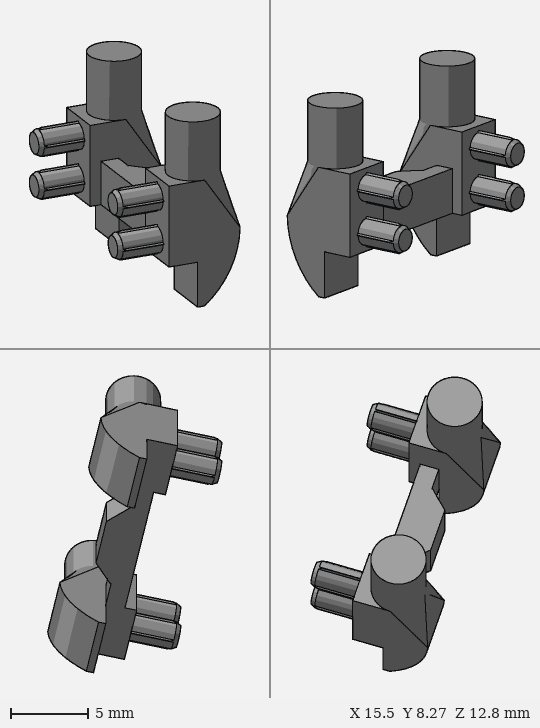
import cadquery as cq
import math

overall_width = 15.54
overall_depth = 8.27
overall_height = 12.85

block_width = 3.57
pin_length = 3.17
block_front = pin_length
block_back = overall_depth
block_top = 8.75
step_height = 3.12
ridge_height = 5.03
leg_front = block_back - 3.05
back_radius = 6.53
toe_back = block_back - 2.56
block_offset = (overall_width - block_width) / 2

post_radius = block_width / 2
post_y = block_front + 2.55

pin_radius = 0.9
pin_tip_radius = 0.73
pin_chamfer_length = 0.31
pin_heights = (4.45, 7.41)
rib_tip_radius = 1.03
rib_root_radius = 0.89
rib_width = 0.19
rib_count = 4

bar_front = block_front + 0.78
bar_thickness = 1.26
bar_height = 3.01
bar_bulge = 1.27
bar_end_length = 1.41
bar_half_length = overall_width / 2 - block_width


def make_block_body():
    """Side profile with a curved back, extruded across the block width."""
    return (
        cq.Workplane("YZ")
        .moveTo(leg_front, 0)
        .lineTo(leg_front, step_height)
        .lineTo(block_front, step_height)
        .lineTo(block_front, block_top)
        .lineTo(post_y, block_top)
        .lineTo(block_back, ridge_height)
        .radiusArc((toe_back, 0), back_radius)
        .close()
        .extrude(block_width / 2, both=True)
    )


def make_shoulder():
    """Blend from the rear half of the post's base down to the straight ridge."""
    center = cq.Vector(0, post_y, block_top)
    post_back = cq.Vector(0, post_y + post_radius, block_top)
    diagonal = post_radius * math.sqrt(0.5)
    corners = [cq.Vector(side * block_width / 2, block_back, ridge_height) for side in (-1, 1)]

    points = [center, post_back, *corners]
    faces = []
    for skipped in points:
        outline = [point for point in points if point is not skipped]
        faces.append(cq.Face.makeFromWires(cq.Wire.makePolygon(outline, close=True)))
    wedge = cq.Solid.makeSolid(cq.Shell.makeShell(faces))
    shoulder = cq.Workplane("XY").add(wedge.fix())

    for side, corner in zip((-1, 1), corners):
        post_side = cq.Vector(side * post_radius, post_y, block_top)
        arc_middle = cq.Vector(side * diagonal, post_y + diagonal, block_top)
        quarter = cq.Wire.assembleEdges([
            cq.Edge.makeLine(center, post_side),
            cq.Edge.makeThreePointArc(post_side, arc_middle, post_back),
            cq.Edge.makeLine(post_back, center),
        ])
        apex = cq.Vertex.makeVertex(*corner.toTuple())
        taper = cq.occ_impl.shapes.loft(quarter, apex, cap=True, ruled=True)
        shoulder = shoulder.union(cq.Workplane("XY").add(taper))
    return shoulder


def make_post():
    return (
        cq.Workplane("XY", origin=(0, post_y, block_top))
        .circle(post_radius)
        .extrude(overall_height - block_top)
    )


def make_pin():
    """Pin along Y with pointed ribs; one cone tapers both pin and ribs."""
    section = cq.Workplane("XZ", origin=(0, block_front, 0))
    pin = section.circle(pin_radius).extrude(pin_length)
    rib = (
        section.moveTo(0, -rib_width / 2)
        .lineTo(rib_root_radius, -rib_width / 2)
        .lineTo(rib_tip_radius, 0)
        .lineTo(rib_root_radius, rib_width / 2)
        .lineTo(0, rib_width / 2)
        .close()
        .extrude(pin_length)
    )
    for index in range(rib_count):
        pin = pin.union(rib.rotate((0, 0, 0), (0, 1, 0), index * 360 / rib_count))

    taper_slope = (pin_radius - pin_tip_radius) / pin_chamfer_length
    taper_length = (rib_tip_radius - pin_tip_radius) / taper_slope
    envelope = (
        cq.Workplane("XY")
        .lineTo(pin_tip_radius, 0)
        .lineTo(rib_tip_radius, taper_length)
        .lineTo(rib_tip_radius, block_front)
        .lineTo(0, block_front)
        .close()
        .revolve(360, (0, 0, 0), (0, 1, 0))
    )
    return pin.intersect(envelope)


def make_support():
    support = make_block_body().union(make_shoulder()).union(make_post())
    pin = make_pin()
    for height in pin_heights:
        support = support.union(pin.translate((0, 0, height)))
    return support


def make_crossbar():
    bar_back = bar_front + bar_thickness
    bulge_start = bar_half_length - bar_end_length
    bulge_flat = bulge_start - bar_bulge
    return (
        cq.Workplane("XY", origin=(0, 0, step_height))
        .moveTo(-bar_half_length, bar_front)
        .lineTo(bar_half_length, bar_front)
        .lineTo(bar_half_length, bar_back)
        .lineTo(bulge_start, bar_back)
        .lineTo(bulge_flat, bar_back + bar_bulge)
        .lineTo(-bulge_flat, bar_back + bar_bulge)
        .lineTo(-bulge_start, bar_back)
        .lineTo(-bar_half_length, bar_back)
        .close()
        .extrude(bar_height)
    )


support = make_support()
result = make_crossbar()
for side in (-1, 1):
    result = result.union(support.translate((side * block_offset, 0, 0)))